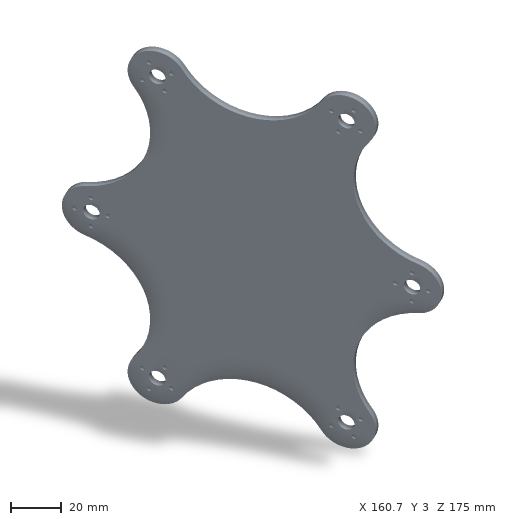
import cadquery as cq
import math

thickness = 3.0
lobe_spacing = 80.0
end_row_height = 75.0
lobe_radius = 12.5
scallop_radius = 35.0
center_hole_diameter = 7.0
screw_hole_diameter = 2.0
screw_circle_radius = 7.0
screws_per_lobe = 4

end_lobe_x = lobe_spacing / 2
side_lobe_x = end_lobe_x + math.sqrt(lobe_spacing**2 - end_row_height**2)
lobe_centers = [
    (side_lobe_x, 0),
    (end_lobe_x, end_row_height),
    (-end_lobe_x, end_row_height),
    (-side_lobe_x, 0),
    (-end_lobe_x, -end_row_height),
    (end_lobe_x, -end_row_height),
]


def point_toward(start, target, distance):
    """Point at a given distance from start on the line to target."""
    dx = target[0] - start[0]
    dz = target[1] - start[1]
    ratio = distance / math.hypot(dx, dz)
    return start[0] + dx * ratio, start[1] + dz * ratio


def midpoint(start, end):
    """Point halfway between two points."""
    return (start[0] + end[0]) / 2, (start[1] + end[1]) / 2


def scallop_center(lobe, next_lobe):
    """Centre, outside the plate, of the arc tangent to two neighbouring lobes."""
    middle = midpoint(lobe, next_lobe)
    offset = math.sqrt((lobe_radius + scallop_radius)**2 - (lobe_spacing / 2)**2)
    outward = (next_lobe[1] - lobe[1], lobe[0] - next_lobe[0])
    target = (middle[0] + outward[0], middle[1] + outward[1])
    return point_toward(middle, target, offset)


def front_face():
    """Workplane on the front (-Y) face, with the plate centred on Y = 0."""
    return cq.Workplane("XZ").workplane(offset=thickness / 2)


def plate():
    """Flat plate bounded by alternating convex lobe and concave scallop arcs."""
    next_lobes = lobe_centers[1:] + lobe_centers[:1]
    scallops = [scallop_center(*pair) for pair in zip(lobe_centers, next_lobes)]
    start = point_toward(lobe_centers[0], scallops[-1], lobe_radius)
    outline = front_face().moveTo(*start)
    for lobe, next_lobe, scallop in zip(lobe_centers, next_lobes, scallops):
        lobe_tip = point_toward(lobe, (0, 0), -lobe_radius)
        lobe_end = point_toward(lobe, scallop, lobe_radius)
        scallop_bottom = point_toward(scallop, midpoint(lobe, next_lobe), scallop_radius)
        scallop_end = point_toward(next_lobe, scallop, lobe_radius)
        outline = outline.threePointArc(lobe_tip, lobe_end)
        outline = outline.threePointArc(scallop_bottom, scallop_end)
    return outline.close().extrude(-thickness)


def through_holes(points, diameter):
    """Cylinders that span the plate thickness at the given points."""
    return front_face().pushPoints(points).circle(diameter / 2).extrude(-thickness)


def screw_points():
    """Screw holes around each lobe centre, with one pair on the lobe's radial line."""
    points = []
    for x, z in lobe_centers:
        radial_angle = math.atan2(z, x)
        for screw in range(screws_per_lobe):
            angle = radial_angle + screw * 2 * math.pi / screws_per_lobe
            points.append((
                x + screw_circle_radius * math.cos(angle),
                z + screw_circle_radius * math.sin(angle),
            ))
    return points


result = (
    plate()
    .cut(through_holes(lobe_centers, center_hole_diameter))
    .cut(through_holes(screw_points(), screw_hole_diameter))
)